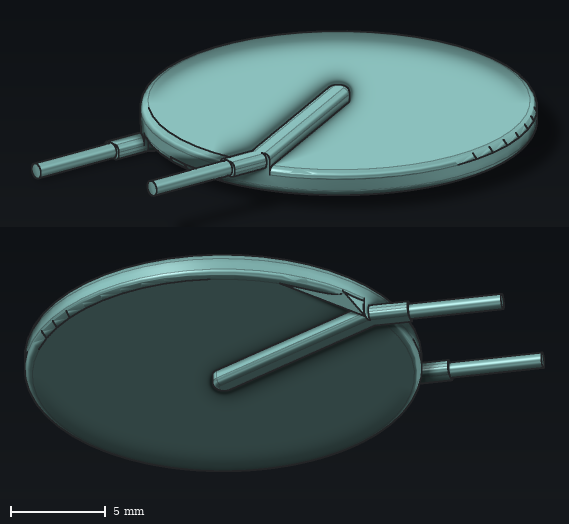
import cadquery as cq
import math

disc_diameter = 21.0
disc_radius = disc_diameter / 2
disc_thickness = 1.45
disc_round = 0.4
disc_face = disc_thickness / 2

total_length = 26.68
total_height = 3.0
lead_top = total_height / 2
lead_tip_y = disc_radius - total_length

lead_spacing = 10.17
lead_x = lead_spacing / 2
arm_width = 1.23
arm_start_y = -0.05
bend_y = -9.07
sleeve_end_y = -11.18
coat_round = 0.32
wire_diameter = 0.83
wire_z = lead_top - wire_diameter / 2
sleeve_bottom = lead_top - wire_diameter
neck_bottom = disc_face - disc_round

flare_face_x = -8.8
flare_rim_x = -7.0
flare_end_x = -5.34
corner_inset = coat_round * (1 - math.cos(math.radians(45)))
flare_tip_x = -lead_x - arm_width / 2 + corner_inset
flare_tip_z = -lead_top + corner_inset

select_margin = 0.03


def circle_y(x, radius):
    """Y of the front half of a circle around the origin at a given x."""
    return -math.sqrt(radius**2 - x**2)


def rim_cylinder():
    """Full-height cylinder that bounds whatever may not stick out past the disc rim."""
    return cq.Workplane("XY", origin=(0, 0, -lead_top)).circle(disc_radius).extrude(total_height)


def make_disc():
    disc = cq.Workplane("XY", origin=(0, 0, -disc_face)).circle(disc_radius).extrude(disc_thickness)
    return disc.edges().fillet(disc_round)


def coat_block(bottom):
    """Bent bar with a round inner end, reaching from the given height up to the lead top."""
    half = arm_width / 2
    tilt = math.atan2(lead_x, arm_start_y - bend_y)
    side_x = half * math.cos(tilt)
    side_y = half * math.sin(tilt)
    arm_right = (side_x, arm_start_y + side_y)
    arm_left = (-side_x, arm_start_y - side_y)
    arm_end = (-side_y, arm_start_y + side_x)
    miter = half * math.tan(tilt / 2)
    return (
        cq.Workplane("XY", origin=(0, 0, bottom))
        .moveTo(*arm_right)
        .lineTo(lead_x + half, bend_y + miter)
        .lineTo(lead_x + half, sleeve_end_y)
        .lineTo(lead_x - half, sleeve_end_y)
        .lineTo(lead_x - half, bend_y - miter)
        .lineTo(*arm_left)
        .threePointArc(arm_end, arm_right)
        .close()
        .extrude(lead_top - bottom)
    )


def round_top(block):
    """Round the top edges of a coat block, leaving the flat end of the sleeve sharp."""
    end_edge = cq.selectors.BoxSelector(
        (lead_x - arm_width, sleeve_end_y - select_margin, lead_top - select_margin),
        (lead_x + arm_width, sleeve_end_y + select_margin, lead_top + select_margin),
    )
    top_edges = cq.selectors.DirectionMinMaxSelector(cq.Vector(0, 0, 1), True)
    return block.edges(cq.selectors.SubtractSelector(top_edges, end_edge)).fillet(coat_round)


def make_lead():
    """Lead on the upper face of the disc."""
    over_disc = round_top(coat_block(neck_bottom)).intersect(rim_cylinder())

    sleeve = (
        cq.Workplane("XZ", origin=(lead_x, bend_y, wire_z))
        .rect(arm_width, wire_diameter)
        .extrude(bend_y - sleeve_end_y)
        .edges("|Y")
        .fillet(coat_round)
    )
    sleeve = sleeve.intersect(round_top(coat_block(sleeve_bottom)))

    wire = (
        cq.Workplane("XZ", origin=(lead_x, sleeve_end_y, wire_z))
        .circle(wire_diameter / 2)
        .extrude(sleeve_end_y - lead_tip_y)
    )
    return over_disc.union(sleeve).union(wire)


def make_flare():
    """Thin four-sided web from the disc rim down to the rounded outer side of the lower sleeve."""
    face_start = cq.Vector(flare_face_x, circle_y(flare_face_x, disc_radius - disc_round), -disc_face)
    rim_start = cq.Vector(flare_rim_x, circle_y(flare_rim_x, disc_radius), -neck_bottom)
    rim_end = cq.Vector(flare_end_x, circle_y(flare_end_x, disc_radius), -neck_bottom)
    tip = cq.Vector(flare_tip_x, circle_y(flare_tip_x, disc_radius), flare_tip_z)
    corners = [face_start, rim_start, rim_end, tip]
    faces = []
    for skipped in corners:
        triangle = [corner for corner in corners if corner is not skipped]
        faces.append(cq.Face.makeFromWires(cq.Wire.makePolygon(triangle, close=True)))
    return cq.Workplane(cq.Solid.makeSolid(cq.Shell.makeShell(faces)).fix())


upper_lead = make_lead()
lower_lead = upper_lead.rotate((0, 0, 0), (0, 1, 0), 180)
result = make_disc().union(upper_lead).union(lower_lead).union(make_flare())